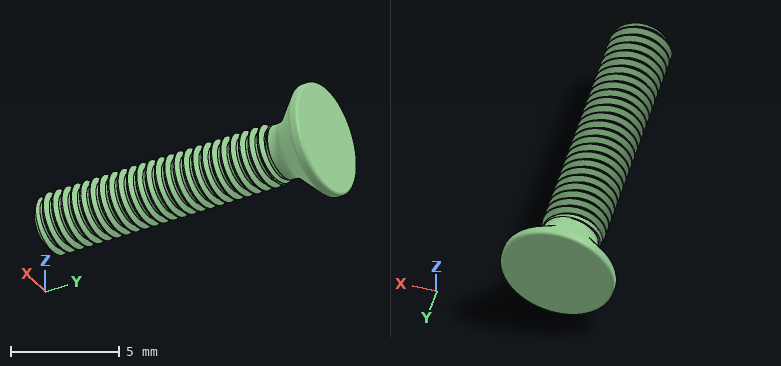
import cadquery as cq
import math

length = 15

head_diameter = 5.5
head_radius = head_diameter / 2
cone_angle = math.radians(45)
rim_height = 0.46
face_fillet = 0.15
rim_fillet = 0.18
throat_fillet = 0.82
neck_radius = 1.35

major_radius = 1.5
pitches_in_length = 30
pitch = length / pitches_in_length
flank_angle = math.radians(30)
triangle_height = pitch / 2 / math.tan(flank_angle)
thread_depth = 5 / 8 * triangle_height
root_flat = pitch / 4
minor_radius = major_radius - thread_depth
crest_offset = 0.14
groove_overshoot = 0.03

runout_start = 12.38
runout_end = 12.63
crest_cone_start = 12.21
crest_cone_end = 12.57


def screw_blank():
    """Revolved head, neck and unthreaded shank, chamfered down to the thread root at the tip."""
    cone_top = length - rim_height
    cone_bottom = cone_top - (head_radius - neck_radius)
    throat_trim = throat_fillet * math.tan(cone_angle / 2)
    rim_trim = rim_fillet * math.tan(cone_angle / 2)
    throat_step = throat_trim * math.cos(cone_angle)
    rim_step = rim_trim * math.cos(cone_angle)
    profile = (
        cq.Workplane("XY")
        .lineTo(minor_radius, 0)
        .lineTo(major_radius, thread_depth)
        .lineTo(major_radius, crest_cone_start)
        .lineTo(neck_radius, crest_cone_end)
        .lineTo(neck_radius, cone_bottom - throat_trim)
        .tangentArcPoint((neck_radius + throat_step, cone_bottom + throat_step), relative=False)
        .lineTo(head_radius - rim_step, cone_top - rim_step)
        .tangentArcPoint((head_radius, cone_top + rim_trim), relative=False)
        .lineTo(head_radius, length - face_fillet)
        .tangentArcPoint((head_radius - face_fillet, length), relative=False)
        .lineTo(0, length)
        .close()
    )
    return profile.revolve(360, (0, 0), (0, 1))


def thread_groove():
    """Helical V groove with a flat root, running past both ends of the thread."""
    start = crest_offset - pitch / 2 - pitch
    height = pitch * math.ceil((runout_end - start) / pitch)
    outer_radius = major_radius + groove_overshoot
    root_half = root_flat / 2
    mouth_half = root_half + (outer_radius - minor_radius) * math.tan(flank_angle)
    corners = [
        (minor_radius, -root_half),
        (outer_radius, -mouth_half),
        (outer_radius, mouth_half),
        (minor_radius, root_half),
    ]
    helices = [
        cq.Wire.makeHelix(pitch, height, radius).translate(cq.Vector(0, 0, offset))
        for radius, offset in corners
    ]
    faces = []
    for helix, next_helix in zip(helices, helices[1:] + helices[:1]):
        faces += cq.Face.makeRuledSurface(helix, next_helix).Faces()
    for level in (0, height):
        end_points = [cq.Vector(radius, 0, level + offset) for radius, offset in corners]
        faces.append(cq.Face.makeFromWires(cq.Wire.makePolygon(end_points, close=True)))
    groove = cq.Workplane(obj=cq.Solid.makeSolid(cq.Shell.makeShell(faces)))
    return groove.rotate((0, 0, 0), (1, 0, 0), -90).translate((0, start, 0))


def runout_plug():
    """Cone kept out of the groove, so that the groove fades into the neck."""
    slope = (neck_radius - minor_radius) / (runout_end - runout_start)
    bottom_radius = minor_radius / 2
    plug_bottom = runout_start - (minor_radius - bottom_radius) / slope
    plug_top = runout_end + 2 * pitch
    profile = [
        (0, plug_bottom),
        (bottom_radius, plug_bottom),
        (bottom_radius + slope * (plug_top - plug_bottom), plug_top),
        (0, plug_top),
    ]
    return cq.Workplane("XY").polyline(profile).close().revolve(360, (0, 0), (0, 1))


fading_groove = thread_groove().cut(runout_plug())
result = screw_blank().cut(fading_groove)